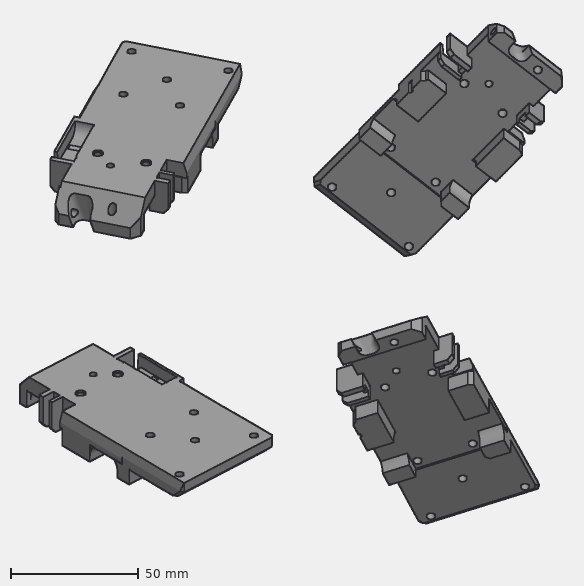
import cadquery as cq

WIDTH = 52.0
LENGTH = 105.1
HEIGHT = 15.0

REAR_UNDERSIDE = 7.0
FRONT_UNDERSIDE = 7.9
ARCH_SPRING = 2.9
ARCH_RADIUS = 7.0

NECK_LEFT = 9.1
NECK_RIGHT = 43.7
REAR_LEFT = 2.3
REAR_END_LEFT = 2.1
REAR_TAPER_END = 92.5
REAR_RIGHT = 51.8
SIDE_BOX_FRONT = 26.2
SHOULDER_FRONT = 35.1
REAR_DECK_FRONT = 74.6
RIGHT_STEP_Y = 70.7
REAR_CORNER = 1.2
REAR_SLOPE = 3.6

RIGHT_BEVEL_WIDTH = 1.4
RIGHT_BEVEL_HEIGHT = 4.6
LEFT_BEVEL_HEIGHT = 4.4
LEFT_BEVEL_FRONT = 51.0

LEFT_SKIRT_INNER = 11.4
RIGHT_SKIRT_INNER = 41.5
REAR_LEG_FRONT = 67.9
BLOCK_REAR = 52.2
BLOCK_FRONT = 35.5
BLOCK_CHAMFER = (1.6, 1.4)
BLOCK_CHAMFER_REAR = 37.8
BLOCK_NOSE_X = 1.9
RIGHT_CORNER_START = 49.8
RIGHT_LEG_CHAMFER = 1.6
RIGHT_CORNER_DEPTH = 0.8
GROOVE_FRONT = 43.2
GROOVE_WIDTH = 1.8
GROOVE_DEPTH = 0.8
GROOVE_SLANT = 0.6

RIB_LEFT = 0.2
RIB_RIGHT = 49.4
RIB_CHAMFER_WIDTH = 2.0
RIB_CHAMFER_HEIGHT = 2.5
REAR_RIB = (26.2, 27.7)
FRONT_RIB = (20.4, 22.6)
WEB_LEFT = 9.5

TRAY_LEFT = 1.3
TRAY_FLOOR_LEFT = 1.7
TRAY_REAR = 48.1
TRAY_FLOOR = 10.0
TRAY_LIP = 28.2
TRAY_GROOVE_LEFT = 2.2
TRAY_GROOVE_Y = 37.5
TRAY_GROOVE_DEPTH = 0.3
ROUND_DIAMETER = 6.2

FOOT_LEFT = 8.5
FOOT_REAR = 7.1
FOOT_LEFT_CHAMFER = 2.2
FOOT_RIGHT_CHAMFER = 3.3
SLOPE_LENGTH = 8.5
SLOPE_BASE = 5.3

SLOT_Y = 2.9
SLOT_TOP_X = 20.5
SLOT_KNEE_Z = 4.6
SLOT_LEFT_X = 19.9
SLOT_LEAN = 0.34
SLOT_OVERRUN = 1.0

PIN_HOLE = 2.8
SCREW_HOLE = 3.4
SEAT_DIAMETER = 4.1
SEAT_DEPTH = 0.8
SCREW_POINTS = [(7.6, 99.3), (47.7, 99.3), (26.7, 85.9), (13.6, 71.2), (37.1, 71.2)]
SEATED_POINTS = [(16.6, 30.7), (36.7, 30.7)]
PIN_POINT = (24.0, 24.4)
FOOT_HOLE_POINT = (31.6, 3.9)
FOOT_HOLE = 3.3
SIDE_HOLE_YZ = (4.0, 4.0)


def box(x, y, z):
    """Axis-aligned block between the limits of each (low, high) pair."""
    size = (x[1] - x[0], y[1] - y[0], z[1] - z[0])
    return cq.Workplane("XY").box(*size, centered=False).translate((x[0], y[0], z[0]))


def plan_prism(points, z):
    return cq.Workplane("XY").workplane(offset=z[0]).polyline(points).close().extrude(z[1] - z[0])


def front_prism(points, y):
    """Extrude an XZ outline along +Y."""
    plane = cq.Workplane("XZ", origin=(0, y[0], 0))
    return plane.polyline(points).close().extrude(y[0] - y[1])


def side_prism(points, x):
    """Extrude a YZ outline along +X."""
    plane = cq.Workplane("YZ", origin=(x[0], 0, 0))
    return plane.polyline(points).close().extrude(x[1] - x[0])


def arch_wedge(face_y, direction, x):
    """Haunch that blends a vertical face into the deck with an arch-shaped curve."""
    rise = FRONT_UNDERSIDE - ARCH_SPRING
    center_y = face_y + direction * ARCH_RADIUS
    end_y = center_y - direction * (ARCH_RADIUS**2 - rise**2) ** 0.5
    block = box(x, sorted((face_y, end_y)), (ARCH_SPRING, FRONT_UNDERSIDE))
    tunnel = (
        cq.Workplane("YZ", origin=(x[0], center_y, ARCH_SPRING)).circle(ARCH_RADIUS).extrude(x[1] - x[0])
    )
    return block.cut(tunnel)


def make_deck():
    rear_outline = [
        (REAR_LEFT, REAR_DECK_FRONT),
        (REAR_RIGHT, REAR_DECK_FRONT),
        (REAR_RIGHT, LENGTH),
        (REAR_END_LEFT, LENGTH),
        (REAR_END_LEFT, REAR_TAPER_END),
    ]
    rear = plan_prism(rear_outline, (REAR_UNDERSIDE, HEIGHT))
    rear_slope = [
        (LENGTH - REAR_SLOPE, REAR_UNDERSIDE),
        (LENGTH, REAR_UNDERSIDE),
        (LENGTH, REAR_UNDERSIDE + REAR_SLOPE),
    ]
    rear = rear.cut(side_prism(rear_slope, (0, WIDTH)))
    for side in ("<X", ">X"):
        rear = rear.faces(side).edges("(not |Y) and (not <Y)").chamfer(REAR_CORNER)
    front_outline = [
        (NECK_LEFT, 0),
        (NECK_RIGHT, 0),
        (NECK_RIGHT, SHOULDER_FRONT),
        (WIDTH, SHOULDER_FRONT),
        (WIDTH, RIGHT_STEP_Y),
        (REAR_RIGHT, RIGHT_STEP_Y),
        (REAR_RIGHT, REAR_DECK_FRONT),
        (0, REAR_DECK_FRONT),
        (0, SIDE_BOX_FRONT),
        (WEB_LEFT, SIDE_BOX_FRONT),
        (WEB_LEFT, FRONT_RIB[1]),
        (NECK_LEFT, FRONT_RIB[1]),
    ]
    return rear.union(plan_prism(front_outline, (FRONT_UNDERSIDE, HEIGHT)))


def make_skirts():
    left = (0, LEFT_SKIRT_INNER)
    right = (RIGHT_SKIRT_INNER, REAR_RIGHT)
    under_deck = (0, FRONT_UNDERSIDE)
    left_block = [
        (0, BLOCK_REAR),
        (0, BLOCK_CHAMFER_REAR),
        (BLOCK_CHAMFER[0], BLOCK_CHAMFER_REAR - BLOCK_CHAMFER[1]),
        (BLOCK_NOSE_X, BLOCK_FRONT),
        (LEFT_SKIRT_INNER, BLOCK_FRONT),
        (LEFT_SKIRT_INNER, BLOCK_REAR),
    ]
    right_block = [
        (RIGHT_SKIRT_INNER, BLOCK_FRONT),
        (RIGHT_CORNER_START, BLOCK_FRONT),
        (WIDTH, BLOCK_FRONT + RIGHT_CORNER_DEPTH),
        (WIDTH, BLOCK_REAR),
        (RIGHT_SKIRT_INNER, BLOCK_REAR),
    ]
    right_leg = [
        (RIGHT_SKIRT_INNER, REAR_LEG_FRONT),
        (REAR_RIGHT, REAR_LEG_FRONT),
        (REAR_RIGHT, REAR_DECK_FRONT),
        (RIGHT_SKIRT_INNER + RIGHT_LEG_CHAMFER, REAR_DECK_FRONT),
        (RIGHT_SKIRT_INNER, REAR_DECK_FRONT - RIGHT_LEG_CHAMFER),
    ]
    skirts = plan_prism(left_block, under_deck)
    skirts = skirts.union(plan_prism(right_block, under_deck))
    skirts = skirts.union(plan_prism(right_leg, under_deck))
    skirts = skirts.union(box(left, (REAR_LEG_FRONT, REAR_DECK_FRONT), (ARCH_SPRING, FRONT_UNDERSIDE)))
    for span in (left, right):
        skirts = skirts.union(arch_wedge(REAR_LEG_FRONT, -1, span))
        skirts = skirts.union(arch_wedge(BLOCK_REAR, 1, span))
    groove = [
        (0, GROOVE_FRONT),
        (GROOVE_DEPTH, GROOVE_FRONT),
        (GROOVE_DEPTH, GROOVE_FRONT + GROOVE_WIDTH - GROOVE_SLANT),
        (0, GROOVE_FRONT + GROOVE_WIDTH),
    ]
    return skirts.cut(plan_prism(groove, under_deck))


def make_ribs():
    """Two ribs on each side, tied by webs; the outer bottom corners are chamfered."""
    left_rib = [
        (RIB_LEFT, HEIGHT),
        (RIB_LEFT, RIB_CHAMFER_HEIGHT),
        (RIB_LEFT + RIB_CHAMFER_WIDTH, 0),
        (LEFT_SKIRT_INNER, 0),
        (LEFT_SKIRT_INNER, HEIGHT),
    ]
    right_rib = [
        (RIB_RIGHT, HEIGHT),
        (RIB_RIGHT, RIB_CHAMFER_HEIGHT),
        (RIB_RIGHT - RIB_CHAMFER_WIDTH, 0),
        (RIGHT_SKIRT_INNER, 0),
        (RIGHT_SKIRT_INNER, HEIGHT),
    ]
    web_y = (FRONT_RIB[0], REAR_RIB[1])
    web_z = (ARCH_SPRING, FRONT_UNDERSIDE)
    ribs = box((WEB_LEFT, LEFT_SKIRT_INNER), web_y, web_z)
    ribs = ribs.union(box((RIGHT_SKIRT_INNER, NECK_RIGHT), web_y, web_z))
    for span in (FRONT_RIB, REAR_RIB):
        ribs = ribs.union(front_prism(left_rib, span))
        ribs = ribs.union(front_prism(right_rib, span))
    return ribs


def make_foot():
    outline = [
        (FOOT_LEFT, FOOT_REAR),
        (FOOT_LEFT, FOOT_LEFT_CHAMFER),
        (FOOT_LEFT + FOOT_LEFT_CHAMFER, 0),
        (NECK_RIGHT - FOOT_RIGHT_CHAMFER, 0),
        (NECK_RIGHT, FOOT_RIGHT_CHAMFER),
        (NECK_RIGHT, FOOT_REAR),
    ]
    foot = plan_prism(outline, (0, HEIGHT))
    return foot.union(arch_wedge(FOOT_REAR, 1, (LEFT_SKIRT_INNER, RIGHT_SKIRT_INNER)))


def front_trim():
    """Sloping front face plus the corner chamfers of the foot, over the full height."""
    slope = side_prism([(0, SLOPE_BASE), (SLOPE_LENGTH, HEIGHT), (0, HEIGHT)], (0, WIDTH))
    left_end = FOOT_LEFT + FOOT_LEFT_CHAMFER
    left = plan_prism([(FOOT_LEFT, 0), (left_end, 0), (FOOT_LEFT, FOOT_LEFT_CHAMFER)], (0, HEIGHT))
    right_end = NECK_RIGHT - FOOT_RIGHT_CHAMFER
    right = plan_prism([(right_end, 0), (NECK_RIGHT, 0), (NECK_RIGHT, FOOT_RIGHT_CHAMFER)], (0, HEIGHT))
    return slope.union(left).union(right)


def edge_bevels():
    bevel_x = WIDTH - RIGHT_BEVEL_WIDTH
    right_profile = [(bevel_x, HEIGHT), (WIDTH, HEIGHT), (WIDTH, HEIGHT - RIGHT_BEVEL_HEIGHT)]
    left_profile = [(0, HEIGHT), (REAR_LEFT, HEIGHT), (0, HEIGHT - LEFT_BEVEL_HEIGHT)]
    right = front_prism(right_profile, (SHOULDER_FRONT, LENGTH))
    return right.union(front_prism(left_profile, (LEFT_BEVEL_FRONT, REAR_DECK_FRONT)))


def make_tray():
    """Tray cavity: curved rear end, flat grooved floor and a sloping front lip."""
    depth = HEIGHT - TRAY_FLOOR
    diagonal = depth * 0.5**0.5
    lip_drop = TRAY_LIP - SIDE_BOX_FRONT
    cavity = (
        cq.Workplane("YZ")
        .moveTo(TRAY_REAR, HEIGHT)
        .threePointArc((TRAY_REAR - depth + diagonal, HEIGHT - diagonal), (TRAY_REAR - depth, TRAY_FLOOR))
        .lineTo(TRAY_LIP, TRAY_FLOOR)
        .lineTo(SIDE_BOX_FRONT, TRAY_FLOOR - lip_drop)
        .lineTo(SIDE_BOX_FRONT, HEIGHT)
        .close()
        .extrude(NECK_LEFT)
    )
    tapered_section = [
        (TRAY_LEFT, HEIGHT),
        (TRAY_FLOOR_LEFT, TRAY_FLOOR),
        (TRAY_FLOOR_LEFT, 0),
        (NECK_LEFT, 0),
        (NECK_LEFT, HEIGHT),
    ]
    cavity = cavity.intersect(front_prism(tapered_section, (SIDE_BOX_FRONT, TRAY_REAR)))
    radius = ROUND_DIAMETER / 2
    groove_center = (TRAY_GROOVE_LEFT, TRAY_GROOVE_Y, TRAY_FLOOR + radius - TRAY_GROOVE_DEPTH)
    groove = cq.Workplane("YZ", origin=groove_center).circle(radius).extrude(NECK_LEFT - TRAY_GROOVE_LEFT)
    return cavity.union(groove)


def make_slot():
    """Vertical round-backed slot that fans into a leaning one toward the left and below."""
    radius = ROUND_DIAMETER / 2
    knee_bottom_x = SLOT_TOP_X + SLOT_LEAN * SLOT_KNEE_Z
    left_top_x = SLOT_LEFT_X - SLOT_LEAN * HEIGHT
    axis_fan = [
        (SLOT_LEFT_X, 0),
        (knee_bottom_x, 0),
        (SLOT_TOP_X, SLOT_KNEE_Z),
        (SLOT_TOP_X, HEIGHT),
        (left_top_x, HEIGHT),
    ]
    lean_direction = cq.Vector(-SLOT_LEAN, 0, 1)
    lean_factor = lean_direction.Length
    side = radius * lean_factor
    outer_knee_z = SLOT_KNEE_Z + (side - radius) / SLOT_LEAN
    open_front = [
        (SLOT_LEFT_X - side, 0),
        (knee_bottom_x + side, 0),
        (SLOT_TOP_X + radius, outer_knee_z),
        (SLOT_TOP_X + radius, HEIGHT),
        (left_top_x - side, HEIGHT),
    ]
    slot = front_prism(axis_fan, (0, SLOT_Y + radius)).union(front_prism(open_front, (0, SLOT_Y)))
    for foot_x, top_z in ((SLOT_LEFT_X, HEIGHT), (knee_bottom_x, SLOT_KNEE_Z)):
        start = cq.Vector(foot_x, SLOT_Y, 0) - lean_direction * SLOT_OVERRUN
        length = (top_z + SLOT_OVERRUN) * lean_factor
        round_side = cq.Solid.makeCylinder(radius, length, start, lean_direction)
        slot = slot.union(cq.Workplane(round_side))
    upright = cq.Workplane("XY", origin=(SLOT_TOP_X, SLOT_Y, SLOT_KNEE_Z)).circle(radius).extrude(HEIGHT)
    return slot.union(upright)


def make_holes():
    deck = cq.Workplane("XY")
    holes = deck.pushPoints(SCREW_POINTS + SEATED_POINTS).circle(SCREW_HOLE / 2).extrude(HEIGHT)
    holes = holes.union(deck.pushPoints([PIN_POINT]).circle(PIN_HOLE / 2).extrude(HEIGHT))
    holes = holes.union(deck.pushPoints([FOOT_HOLE_POINT]).circle(FOOT_HOLE / 2).extrude(HEIGHT))
    seat_plane = cq.Workplane("XY", origin=(0, 0, HEIGHT - SEAT_DEPTH))
    holes = holes.union(seat_plane.pushPoints(SEATED_POINTS).circle(SEAT_DIAMETER / 2).extrude(SEAT_DEPTH))
    side_plane = cq.Workplane("YZ")
    side_hole = side_plane.pushPoints([SIDE_HOLE_YZ]).circle(FOOT_HOLE / 2).extrude(SLOT_LEFT_X)
    return holes.union(side_hole)


result = make_deck().union(make_skirts()).union(make_ribs()).union(make_foot())
result = result.cut(make_tray()).cut(front_trim()).cut(edge_bevels())
result = result.cut(make_slot()).cut(make_holes())